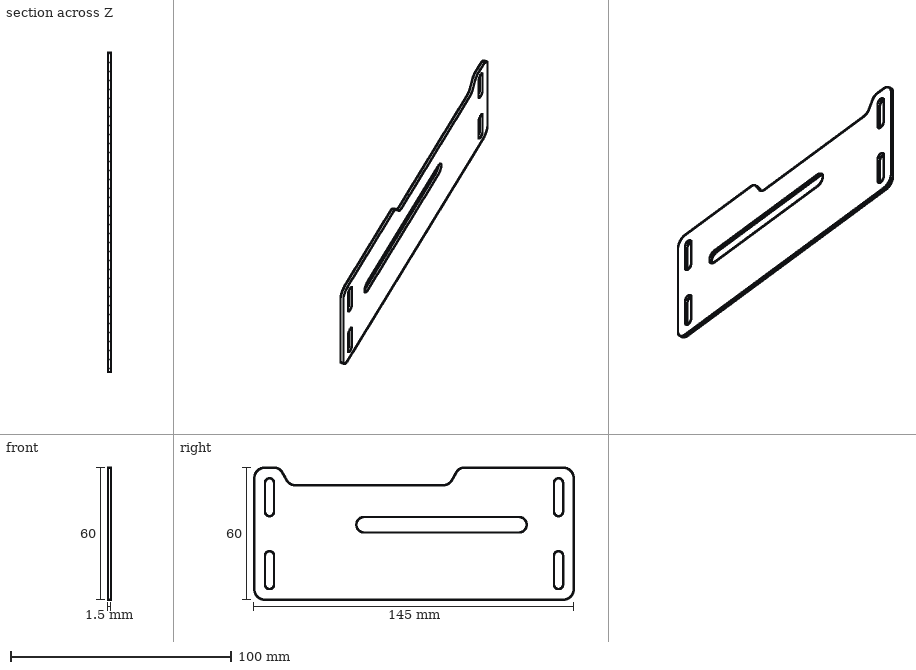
import cadquery as cq
import math

THICKNESS = 1.5
LENGTH = 145.0
HEIGHT = 60.0
CORNER_RADIUS = 5.0

RECESS_DEPTH = 8.0
RECESS_LEFT = 18.1
RECESS_RIGHT = -58.7
RAMP_ANGLE = 60.0
RAMP_FILLET = 4.2

MOUNT_SLOT_LENGTH = 17.1
MOUNT_SLOT_WIDTH = 4.0
MOUNT_SPACING_Y = 131.1
MOUNT_SPACING_Z = 33.0

LONG_SLOT_LENGTH = 77.1
LONG_SLOT_WIDTH = 7.0
LONG_SLOT_Y = 12.5
LONG_SLOT_Z = 4.0


def plate():
    """Rectangular plate with rounded corners and a filleted recess on top."""
    top = HEIGHT / 2
    floor = top - RECESS_DEPTH
    half_length = LENGTH / 2
    half_ramp = RECESS_DEPTH / math.tan(math.radians(RAMP_ANGLE)) / 2
    corners = [(y, z) for y in (-half_length, half_length) for z in (-top, top)]
    ramp_ends = [
        (RECESS_LEFT + half_ramp, top),
        (RECESS_LEFT - half_ramp, floor),
        (RECESS_RIGHT + half_ramp, floor),
        (RECESS_RIGHT - half_ramp, top),
    ]
    outline = [corners[0], corners[2], corners[3], *ramp_ends, corners[1]]
    body = centred_extrusion(cq.Workplane("YZ").polyline(outline).close())
    body = fillet_edges_at(body, corners, CORNER_RADIUS)
    return fillet_edges_at(body, ramp_ends, RAMP_FILLET)


def centred_extrusion(sketch):
    """Extrude a YZ profile equally to both sides, to the plate thickness."""
    return sketch.extrude(THICKNESS / 2, both=True)


def fillet_edges_at(body, points, radius):
    """Round the edges that run through the thickness at the given YZ points."""
    edges = cq.Workplane("YZ").newObject([])
    for y, z in points:
        edges = edges.add(body.edges(cq.selectors.NearestToPointSelector((0, y, z))))
    return body.newObject([body.val().fillet(radius, edges.vals())])


def mount_slots():
    """Upright slots near the four corners."""
    sketch = cq.Workplane("YZ").rarray(MOUNT_SPACING_Y, MOUNT_SPACING_Z, 2, 2)
    return centred_extrusion(sketch.slot2D(MOUNT_SLOT_LENGTH, MOUNT_SLOT_WIDTH, 90))


def long_slot():
    """Horizontal slot offset from the centre toward +Y."""
    sketch = cq.Workplane("YZ").center(LONG_SLOT_Y, LONG_SLOT_Z)
    return centred_extrusion(sketch.slot2D(LONG_SLOT_LENGTH, LONG_SLOT_WIDTH))


result = plate().cut(mount_slots()).cut(long_slot())